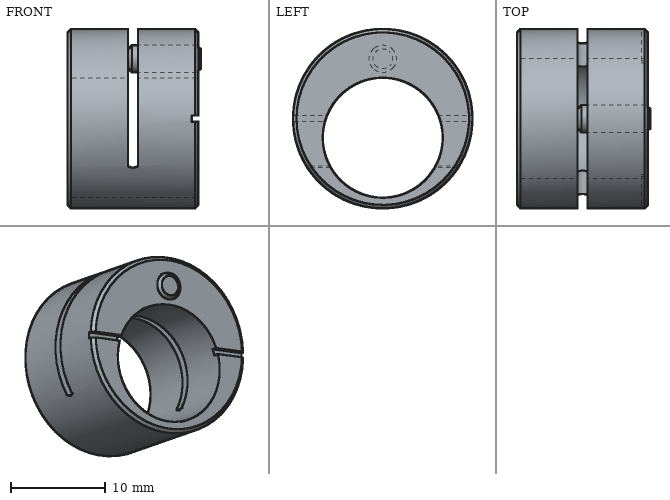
import cadquery as cq

OUTER_DIAMETER = 19.05
COLLAR_LENGTH = 13.89
EDGE_CHAMFER = 0.38
BORE_DIAMETER = 12.7
BORE_OFFSET = 2.02

SLOT_WIDTH = 1.01
SLOT_CORNER_DEPTH = 5.03
SLOT_ARC_HEIGHT = 0.15
SLOT_LEFT = (COLLAR_LENGTH - SLOT_WIDTH) / 2
SLOT_CENTER = COLLAR_LENGTH / 2
SLOT_RIGHT = SLOT_LEFT + SLOT_WIDTH

NOTCH_WIDTH = 0.63
NOTCH_DEPTH = 0.7

SCREW_DIAMETER = 2.9
SCREW_HEIGHT = 6.35
SCREW_TIP_DIAMETER = 2.1
SCREW_PROTRUSION = 0.27
HEAD_TAPER_LENGTH = 0.67
SCREW_RADIUS = SCREW_DIAMETER / 2
TIP_RADIUS = SCREW_TIP_DIAMETER / 2
TIP_CHAMFER = SCREW_RADIUS - TIP_RADIUS
SCREW_END = COLLAR_LENGTH + SCREW_PROTRUSION


def make_screw():
    """Revolve the screw profile about its own axis."""
    profile = (
        cq.Workplane("XZ", origin=(0, 0, SCREW_HEIGHT))
        .moveTo(SLOT_LEFT, 0)
        .lineTo(SLOT_LEFT, TIP_RADIUS)
        .lineTo(SLOT_LEFT + TIP_CHAMFER, SCREW_RADIUS)
        .lineTo(SCREW_END - HEAD_TAPER_LENGTH, SCREW_RADIUS)
        .lineTo(SCREW_END, TIP_RADIUS)
        .lineTo(SCREW_END, 0)
        .close()
    )
    return profile.revolve(360, (0, 0, 0), (1, 0, 0))


def make_slot():
    """Cutter for the clamping slot, with a shallow arc at its lower end."""
    top = OUTER_DIAMETER / 2
    return (
        cq.Workplane("XZ")
        .moveTo(SLOT_LEFT, top)
        .lineTo(SLOT_LEFT, -SLOT_CORNER_DEPTH)
        .threePointArc(
            (SLOT_CENTER, -SLOT_CORNER_DEPTH - SLOT_ARC_HEIGHT),
            (SLOT_RIGHT, -SLOT_CORNER_DEPTH),
        )
        .lineTo(SLOT_RIGHT, top)
        .close()
        .extrude(OUTER_DIAMETER / 2, both=True)
    )


def make_notch():
    """Cutter for the straight notch across the right face."""
    return (
        cq.Workplane("XY")
        .box(NOTCH_DEPTH, OUTER_DIAMETER, NOTCH_WIDTH)
        .translate((COLLAR_LENGTH - NOTCH_DEPTH / 2, 0, 0))
    )


def make_screw_hole():
    """Cutter for the screw hole, from the slot out through the right face."""
    return (
        cq.Workplane("YZ", origin=(SLOT_CENTER, 0, SCREW_HEIGHT))
        .circle(SCREW_RADIUS)
        .extrude(COLLAR_LENGTH - SLOT_CENTER)
    )


def make_collar():
    """Chamfered cylinder with its bore, slot, notch and screw hole."""
    body = (
        cq.Workplane("YZ")
        .circle(OUTER_DIAMETER / 2)
        .extrude(COLLAR_LENGTH)
        .edges()
        .chamfer(EDGE_CHAMFER)
    )
    bore = (
        cq.Workplane("YZ")
        .center(0, -BORE_OFFSET)
        .circle(BORE_DIAMETER / 2)
        .extrude(COLLAR_LENGTH)
    )
    return body.cut(bore).cut(make_slot()).cut(make_notch()).cut(make_screw_hole())


screw = make_screw()
collar = make_collar()

result = cq.Compound.makeCompound([collar.val(), screw.val()])